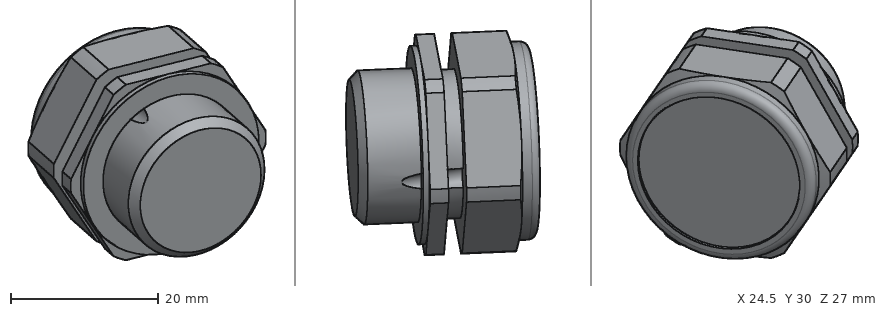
import cadquery as cq
import math

rim_end = 2.5
head_end = 10.25
nut_start = 12.72
nut_end = 15.2
washer_end = 16.0
total_length = 24.5

across_flats = 27
corner_diameter = 30
corner_chamfer_angle = 15

washer_diameter = across_flats
rim_fillet = 1.2
recess_diameter = 23.05
recess_depth = 0.5
neck_diameter = 20.33
body_diameter = 20.95
body_end_chamfer = 1.2

groove_diameter = 3
groove_end = 18.68
groove_slope = 13.5
groove_count = 3
groove_overrun = 6


def disc(start, end, diameter):
    """Solid cylinder along X between two stations."""
    return cq.Workplane("YZ").workplane(offset=start).circle(diameter / 2).extrude(end - start)


def hexagon(start, end):
    """Hexagonal prism along X, flats at top and bottom, with turned corners."""
    point_diameter = across_flats / math.cos(math.radians(30))
    prism = cq.Workplane("YZ").workplane(offset=start).polygon(6, point_diameter).extrude(end - start)
    return prism.intersect(disc(start, end, corner_diameter))


def make_head():
    """Hexagonal head with a rounded rim and a shallow recess in its face."""
    flat_radius = across_flats / 2
    corner_radius = corner_diameter / 2
    chamfer_length = (corner_radius - flat_radius) * math.tan(math.radians(corner_chamfer_angle))
    chamfer_envelope = (
        cq.Workplane("XY")
        .moveTo(rim_end, 0)
        .lineTo(rim_end, flat_radius)
        .lineTo(rim_end + chamfer_length, corner_radius)
        .lineTo(head_end, corner_radius)
        .lineTo(head_end, 0)
        .close()
        .revolve(360, (0, 0), (1, 0))
    )
    rim = disc(0, rim_end, across_flats).faces("<X").edges().fillet(rim_fillet)
    rim = rim.cut(disc(0, recess_depth, recess_diameter))
    return rim.union(hexagon(rim_end, head_end).intersect(chamfer_envelope))


def groove_cutter(angle):
    """Tilted cylinder whose floor meets the body surface at groove_end; angle is measured from +Y."""
    slope = math.radians(groove_slope)
    radius = groove_diameter / 2
    direction = cq.Vector(math.cos(slope), math.sin(slope), 0)
    outward = cq.Vector(-math.sin(slope), math.cos(slope), 0)
    runout = cq.Vector(groove_end, body_diameter / 2, 0)
    length_inside = (groove_end - head_end) / math.cos(slope)
    base = runout + outward * radius - direction * (length_inside + groove_overrun)
    length = length_inside + 2 * groove_overrun
    cylinder = cq.Solid.makeCylinder(radius, length, base, direction)
    return cq.Workplane(cylinder).rotate((0, 0, 0), (1, 0, 0), angle)


def make_body():
    """Neck and plain body, grooved behind the head."""
    body = disc(nut_start, total_length, body_diameter).faces(">X").edges().chamfer(body_end_chamfer)
    body = body.union(disc(head_end, nut_start, neck_diameter))
    for index in range(groove_count):
        body = body.cut(groove_cutter(index * 360 / groove_count))
    return body


def make_nut():
    """Hexagonal nut and round washer, bored to fit on the body so the grooves pass beneath."""
    nut = hexagon(nut_start, nut_end).union(disc(nut_end, washer_end, washer_diameter))
    return nut.cut(disc(nut_start, washer_end, body_diameter))


result = make_head().union(make_body()).union(make_nut())